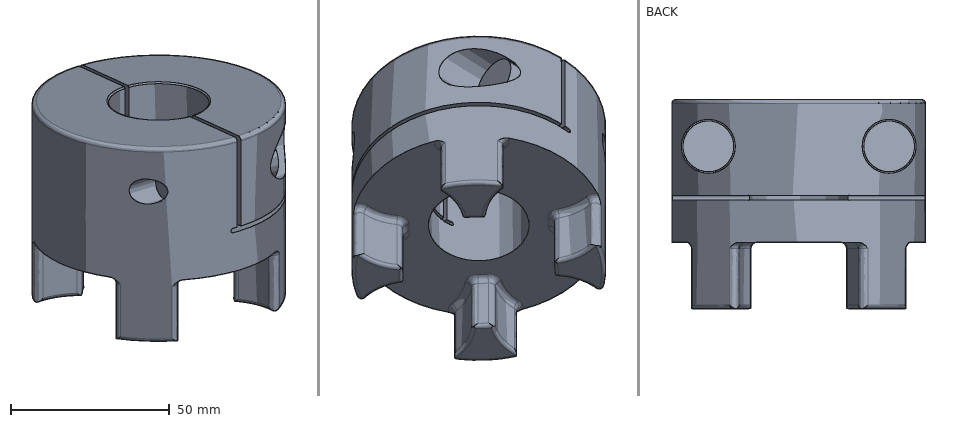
import cadquery as cq
import math

outer_radius = 40.0
total_height = 66.0
jaw_height = 21.0
bore_diameter = 31.7
bore_chamfer = 0.5
rim_fillet = 1.4

jaw_count = 4
gap_radius = 18.8
gap_center_radius = 31.5
jaw_inner_radius = 24.0
tip_fillet = 1.2
jaw_edge_fillet = 2.0
jaw_root_fillet = 2.0
tip_zone = 4.0

slot_width = 1.5
level_slot_bottom = 34.2
level_slot_end_y = -3.1

screw_spacing = 57.0
screw_z = 51.2
shank_diameter = 10.0
shank_length = 30.0
head_diameter = 16.0
head_height = 10.0
head_top_y = 19.0
counterbore_diameter = 17.0
tap_drill_diameter = 8.5

head_seat_y = head_top_y - head_height
screw_tip_y = head_seat_y - shank_length
screw_side_positions = (-screw_spacing / 2, screw_spacing / 2)
level_slot_top = level_slot_bottom + slot_width
plate_radius = outer_radius + 2 * jaw_root_fillet
size_tolerance = 0.01


def axis_distance(point):
    """Distance of a point from the Z axis."""
    return math.hypot(point.x, point.y)


def rod_along_y(x, diameter, y_start, y_end):
    """Cylinder parallel to Y at the screw height."""
    return (
        cq.Workplane("XZ", origin=(x, y_start, screw_z))
        .circle(diameter / 2)
        .extrude(y_start - y_end)
    )


def is_jaw_root(edge):
    """True for the edges in the shoulder plane that run around a jaw."""
    in_shoulder_plane = all(abs(edge.positionAt(t).z - jaw_height) < size_tolerance for t in (0, 0.5, 1))
    return in_shoulder_plane and axis_distance(edge.positionAt(0.5)) < outer_radius + size_tolerance


def make_sharp_jaws():
    """Four plain jaws: a ring cut through by the round gaps."""
    ring = cq.Workplane("XY").circle(outer_radius).circle(jaw_inner_radius).extrude(jaw_height)
    gaps = (
        cq.Workplane("XY")
        .polarArray(gap_center_radius, 0, 360, jaw_count)
        .circle(gap_radius)
        .extrude(jaw_height)
    )
    return ring.cut(gaps)


def make_jaws():
    """Finished jaws below a plate that is wider than the body, so that each root fillet closes on itself."""
    plate = (
        cq.Workplane("XY", origin=(0, 0, jaw_height))
        .circle(plate_radius)
        .extrude(total_height - jaw_height)
    )
    jaws = plate.union(make_sharp_jaws().edges("|Z").fillet(jaw_edge_fillet))
    jaw_roots = [edge for edge in jaws.edges().vals() if is_jaw_root(edge)]
    jaws = jaws.newObject(jaw_roots).fillet(jaw_root_fillet)

    tip_envelope = make_sharp_jaws().faces("<Z").edges().fillet(tip_fillet)
    above_tips = cq.Workplane("XY", origin=(0, 0, tip_zone)).circle(plate_radius).extrude(total_height)
    return jaws.intersect(tip_envelope.union(above_tips))


def make_blank():
    """The whole coupling half, before it is slotted and drilled."""
    bore = cq.Workplane("XY").circle(bore_diameter / 2).extrude(total_height)
    body = cq.Workplane("XY").circle(outer_radius).extrude(total_height).cut(bore)
    rim_edge = cq.selectors.RadiusNthSelector(-1)
    bore_edge = cq.selectors.RadiusNthSelector(0)
    body = body.faces(">Z").edges(rim_edge).fillet(rim_fillet)
    body = body.faces(">Z").edges(bore_edge).chamfer(bore_chamfer)
    return body.intersect(make_jaws())


def make_cap_region():
    """Block holding the space of the clamp cap: above the level slot, behind the upright one."""
    return (
        cq.Workplane("XY", origin=(0, slot_width / 2, level_slot_top))
        .box(2 * outer_radius, outer_radius, total_height - level_slot_top, centered=(True, False, False))
    )


def make_slots():
    """Level slot with a round inner end, and the upright slot that runs down into it."""
    level_slot_z = level_slot_bottom + slot_width / 2
    end_radius = slot_width / 2
    level_slot = (
        cq.Workplane("XY", origin=(0, level_slot_end_y + end_radius, level_slot_bottom))
        .box(2 * outer_radius, 2 * outer_radius, slot_width, centered=(True, False, False))
    )
    round_end = (
        cq.Workplane("YZ", origin=(-outer_radius, level_slot_end_y + end_radius, level_slot_z))
        .circle(end_radius)
        .extrude(2 * outer_radius)
    )
    upright_slot = (
        cq.Workplane("XY", origin=(0, 0, level_slot_bottom))
        .box(2 * outer_radius, slot_width, total_height - level_slot_bottom, centered=(True, True, False))
    )
    return level_slot.union(round_end).union(upright_slot)


def make_hub(blank):
    """Jaws, lower disc and front half of the clamp, with the holes for the screws."""
    hub = blank.cut(make_slots()).cut(make_cap_region())
    for x in screw_side_positions:
        hub = hub.cut(rod_along_y(x, shank_diameter, 0, screw_tip_y))
        hub = hub.cut(rod_along_y(x, tap_drill_diameter, 0, -outer_radius))
    return hub


def make_cap(blank):
    """Rear half of the clamp, counterbored for the screw heads."""
    cap = blank.intersect(make_cap_region())
    for x in screw_side_positions:
        cap = cap.cut(rod_along_y(x, shank_diameter, head_seat_y, 0))
        cap = cap.cut(rod_along_y(x, counterbore_diameter, outer_radius, head_seat_y))
    return cap


def make_screw(x):
    """Plain cap screw: a shank with a larger round head."""
    head = rod_along_y(x, head_diameter, head_top_y, head_seat_y)
    shank = rod_along_y(x, shank_diameter, head_seat_y, screw_tip_y)
    return head.union(shank)


blank = make_blank()
hub = make_hub(blank)
cap = make_cap(blank)
screws = [make_screw(x) for x in screw_side_positions]

result = cq.Compound.makeCompound([hub.val(), cap.val(), *[screw.val() for screw in screws]])